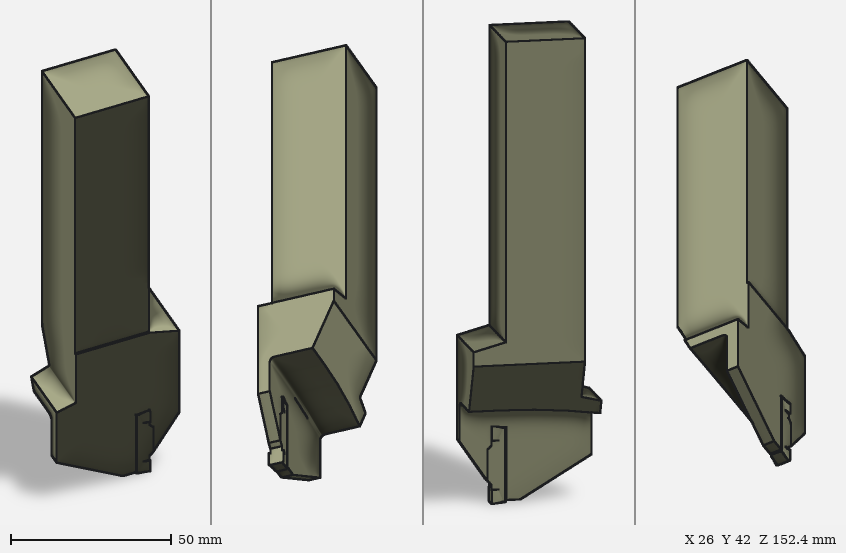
import cadquery as cq

TOTAL_HEIGHT = 152.4
SHANK_WIDTH = 25.0
SHANK_DEPTH = 25.3
INSERT_WIDTH = 5.0
BLADE_THICKNESS = 4.0
INSERT_RIGHT = 26.0
BLADE_CENTER = INSERT_RIGHT - INSERT_WIDTH / 2
BLADE_LEFT = BLADE_CENTER - BLADE_THICKNESS / 2
BLADE_RIGHT = BLADE_CENTER + BLADE_THICKNESS / 2

HEAD_FRONT = -6.5
HEAD_BACK = HEAD_FRONT + 42.0
HEAD_TOP = 56.4
BACK_LEDGE_END = 53.6
FRONT_LEDGE_TOP = 36.5
FRONT_LEDGE_END = 34.9
LEDGE_FILLET = 0.5
BACK_LOW_CORNER = 20.4
FRONT_LOW_CORNER = 14.5
BLADE_TOE = 16.2
BLADE_BOTTOM = 1.0

BEVEL_START = 49.0
BEVEL_END_X = 8.2
BEVEL_END_Z = 30.6
UNDERSIDE_BACK = 33.0
UNDERSIDE_FRONT = 30.5
UNDERSIDE_FILLET = 1.7

INSERT_LENGTH = 24.8
INSERT_SEAT = 20.5
RAKE_Y = SHANK_DEPTH
HUMP_HEIGHT = 1.4
HUMP_START = 6.1
HUMP_TOP_START = 7.5
END_CLEARANCE = 0.5
SEAT_CHAMFER = 0.5
TIP_RADIUS = 0.5
CUTTING_LENGTH = 4.5
TIP_RELIEF_END = 21.2
INNER_RELIEF_END = 23.2


def mirrored(points):
    """Append the points reflected about the insert's middle height."""
    return points + [(y, INSERT_LENGTH - z) for y, z in reversed(points)]


def insert_prism(left, width):
    """Insert side outline extruded along X."""
    outline = mirrored([
        (INSERT_SEAT, END_CLEARANCE),
        (RAKE_Y, 0),
        (RAKE_Y, HUMP_START),
        (RAKE_Y + HUMP_HEIGHT, HUMP_TOP_START),
    ])
    return cq.Workplane("YZ", origin=(left, 0, 0)).polyline(outline).close().extrude(width)


def make_cutting_end():
    """Lower cutting end, with sides that taper away from the rake face."""
    half_cut = INSERT_WIDTH / 2
    half_blade = BLADE_THICKNESS / 2

    def section(relief_end):
        return [(BLADE_CENTER - half_cut, RAKE_Y), (BLADE_CENTER + half_cut, RAKE_Y),
                (BLADE_CENTER + half_blade, relief_end), (BLADE_CENTER - half_blade, relief_end)]

    end = (
        cq.Workplane("XY").polyline(section(TIP_RELIEF_END)).close()
        .workplane(offset=CUTTING_LENGTH).polyline(section(INNER_RELIEF_END)).close()
        .loft(ruled=True)
    )
    end = end.intersect(insert_prism(BLADE_CENTER - half_cut, INSERT_WIDTH))
    return end.faces("<Z").edges("not |X").fillet(TIP_RADIUS)


def make_insert():
    core = insert_prism(BLADE_LEFT, BLADE_THICKNESS)
    core = core.faces("<Y").edges("|Z").chamfer(SEAT_CHAMFER)
    lower_end = make_cutting_end()
    upper_end = lower_end.mirror("XY", (0, 0, INSERT_LENGTH / 2))
    return core.union(lower_end).union(upper_end)


def make_head():
    """Head and blade block with ledges and sloping lower edges."""
    hump_corner = (RAKE_Y + HUMP_HEIGHT, HUMP_TOP_START)
    outline = [
        (0, HEAD_TOP),
        (SHANK_DEPTH, HEAD_TOP),
        (HEAD_BACK, BACK_LEDGE_END),
        (HEAD_BACK, BACK_LOW_CORNER),
        hump_corner,
        (RAKE_Y, HUMP_START),
        (INSERT_SEAT, BLADE_BOTTOM),
        (BLADE_TOE, BLADE_BOTTOM),
        (HEAD_FRONT, FRONT_LOW_CORNER),
        (HEAD_FRONT, FRONT_LEDGE_END),
        (0, FRONT_LEDGE_TOP),
    ]
    return cq.Workplane("YZ").polyline(outline).close().extrude(BLADE_RIGHT)


def make_underside_cutter():
    """Space left of the blade, below an underside that is flat at the back and arched at the front."""
    run = SHANK_DEPTH - HEAD_FRONT
    drop = UNDERSIDE_BACK - UNDERSIDE_FRONT
    radius = (run**2 + drop**2) / (2 * drop)
    half_run = run / 2
    mid_height = UNDERSIDE_BACK - radius + (radius**2 - half_run**2) ** 0.5
    cutter = (
        cq.Workplane("YZ")
        .moveTo(HEAD_BACK, 0)
        .lineTo(HEAD_BACK, UNDERSIDE_BACK)
        .lineTo(SHANK_DEPTH, UNDERSIDE_BACK)
        .threePointArc((SHANK_DEPTH - half_run, mid_height), (HEAD_FRONT, UNDERSIDE_FRONT))
        .lineTo(HEAD_FRONT, 0)
        .close()
        .extrude(BLADE_LEFT)
    )
    return cutter.faces(">X").edges("%CIRCLE or (|Y and >Z)").fillet(UNDERSIDE_FILLET)


def make_bevel_cutter():
    """Wedge that bevels the left side of the head, continued down past the blade."""
    slope = BEVEL_END_X / (BEVEL_START - BEVEL_END_Z)
    return (
        cq.Workplane("XZ", origin=(0, HEAD_BACK, 0))
        .polyline([(0, BEVEL_START), (slope * BEVEL_START, 0), (0, 0)])
        .close()
        .extrude(HEAD_BACK - HEAD_FRONT)
    )


def make_holder():
    shank_height = TOTAL_HEIGHT - FRONT_LEDGE_TOP
    shank = cq.Workplane("XY", origin=(0, 0, FRONT_LEDGE_TOP)).box(
        SHANK_WIDTH, SHANK_DEPTH, shank_height, centered=False)
    holder = make_head().union(shank)
    ledge_corner = cq.selectors.NearestToPointSelector((BLADE_RIGHT / 2, 0, FRONT_LEDGE_TOP))
    holder = holder.edges("|X").edges(ledge_corner).fillet(LEDGE_FILLET)
    holder = holder.cut(make_underside_cutter()).cut(make_bevel_cutter())
    return holder.cut(insert_prism(BLADE_LEFT, BLADE_THICKNESS))


holder = make_holder()
insert = make_insert()
result = cq.Compound.makeCompound([holder.val(), insert.val()])